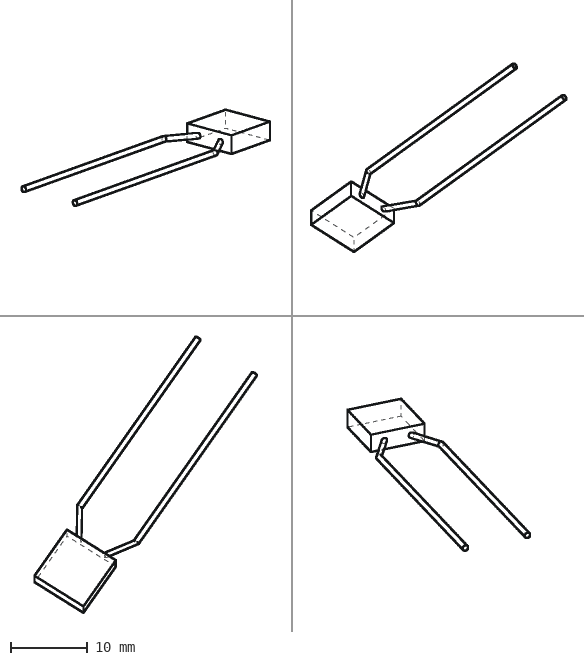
import cadquery as cq

overall_length = 39.37

case_width = 7.65
case_depth = 7.65
case_height = 2.55

lead_diameter = 0.8
overall_width = 9.6
lead_spacing = overall_width - lead_diameter
exit_spacing = 3.85
kink_length = 3.9
straight_length = overall_length - case_depth - kink_length

case_face_y = 0.0
bend_y = case_face_y - kink_length


def make_case():
    """Plain rectangular case."""
    return cq.Workplane("XY").box(case_width, case_depth, case_height).translate(
        (0, case_face_y + case_depth / 2, 0)
    )


def lead_section(x, y):
    """Circular lead outline in the plane of constant Y, centred at (x, y, 0)."""
    circle = cq.Edge.makeCircle(lead_diameter / 2, cq.Vector(x, y, 0), cq.Vector(0, -1, 0))
    return cq.Wire.assembleEdges([circle])


def make_lead(side):
    """One lead on the given side (-1 or 1): a slanted run to the bend, then a straight run."""
    exit_x = side * exit_spacing / 2
    lead_x = side * lead_spacing / 2
    at_case = lead_section(exit_x, case_face_y)
    at_bend = lead_section(lead_x, bend_y)

    slanted_run = cq.Solid.makeLoft([at_case, at_bend], True)
    straight_run = cq.Solid.extrudeLinear(at_bend, [], cq.Vector(0, -straight_length, 0))
    return cq.Workplane(slanted_run).union(cq.Workplane(straight_run))


case = make_case()
leads = [make_lead(side) for side in (-1, 1)]

result = cq.Compound.makeCompound([case.val(), *[lead.val() for lead in leads]])